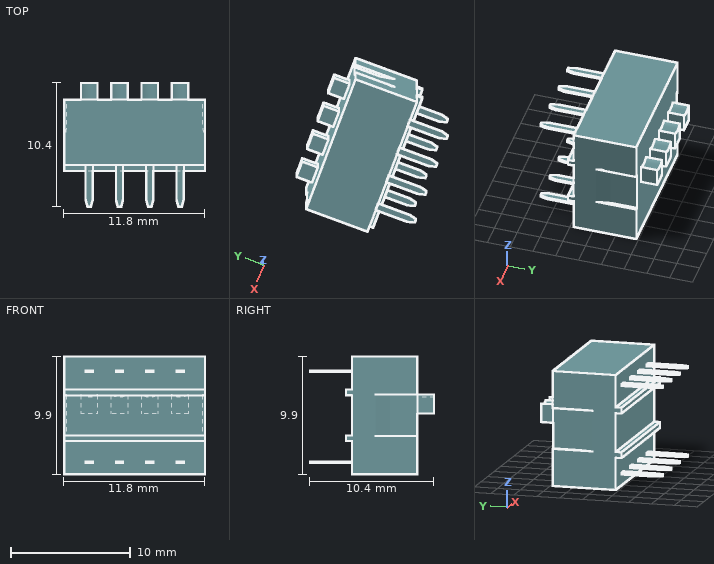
import cadquery as cq
import math

body_width = 11.82
body_depth = 5.5
body_height = 9.9
pin_face_y = 0.0
switch_face_y = pin_face_y + body_depth

rib_size = 0.5
rib_center_z = 1.92

position_count = 4
pitch = 2.54

pin_length = 3.5
pin_width = 0.62
pin_thickness = 0.15
pin_tip_width = 0.3
pin_taper_length = 0.6
row_spacing = 7.62
row_offset_z = -0.12

recess_height = 3.5
recess_depth = 0.21
recess_flat_length = 2.3
recess_length = 3.5

lever_length = 1.4
lever_width = 1.4
lever_height = 1.6
lever_top_z = recess_height / 2
lever_bottom_z = lever_top_z - lever_height
finger_rest_radius = 1.18
finger_rest_depth = finger_rest_radius - math.sqrt(finger_rest_radius**2 - (lever_width / 2) ** 2)

position_xs = [(i - (position_count - 1) / 2) * pitch for i in range(position_count)]


def make_body():
    return cq.Workplane("XY").box(body_width, body_depth, body_height).translate(
        (0, pin_face_y + body_depth / 2, 0)
    )


def make_rib(center_z):
    return cq.Workplane("XY").box(body_width, rib_size, rib_size).translate(
        (0, pin_face_y - rib_size / 2, center_z)
    )


def make_end_recess():
    """Cutter for the recess in the -X end face."""
    face_x = -body_width / 2
    inner_end_y = switch_face_y - recess_length
    return (
        cq.Workplane("XY")
        .workplane(offset=-recess_height / 2)
        .moveTo(face_x, switch_face_y)
        .lineTo(face_x + recess_depth, switch_face_y)
        .lineTo(face_x + recess_depth, switch_face_y - recess_flat_length)
        .lineTo(face_x, inner_end_y)
        .close()
        .extrude(recess_height)
    )


def make_pin(center_x, center_z):
    shoulder_y = pin_face_y - pin_length + pin_taper_length
    tip_y = pin_face_y - pin_length
    return (
        cq.Workplane("XY")
        .polyline([
            (-pin_width / 2, pin_face_y),
            (-pin_width / 2, shoulder_y),
            (-pin_tip_width / 2, tip_y),
            (pin_tip_width / 2, tip_y),
            (pin_width / 2, shoulder_y),
            (pin_width / 2, pin_face_y),
        ])
        .close()
        .extrude(pin_thickness)
        .translate((center_x, 0, center_z - pin_thickness / 2))
    )


def make_lever(center_x):
    """Block standing on the switch face, its top scooped by an arc across X."""
    half_width = lever_width / 2
    return (
        cq.Workplane("XZ", origin=(center_x, switch_face_y, 0))
        .moveTo(-half_width, lever_bottom_z)
        .lineTo(half_width, lever_bottom_z)
        .lineTo(half_width, lever_top_z)
        .threePointArc((0, lever_top_z - finger_rest_depth), (-half_width, lever_top_z))
        .close()
        .extrude(-lever_length)
    )


result = make_body()

end_recess = make_end_recess()
result = result.cut(end_recess).cut(end_recess.mirror("YZ"))

for side in (-1, 1):
    result = result.union(make_rib(side * rib_center_z))
    for x in position_xs:
        result = result.union(make_pin(x, row_offset_z + side * row_spacing / 2))

for x in position_xs:
    result = result.union(make_lever(x))